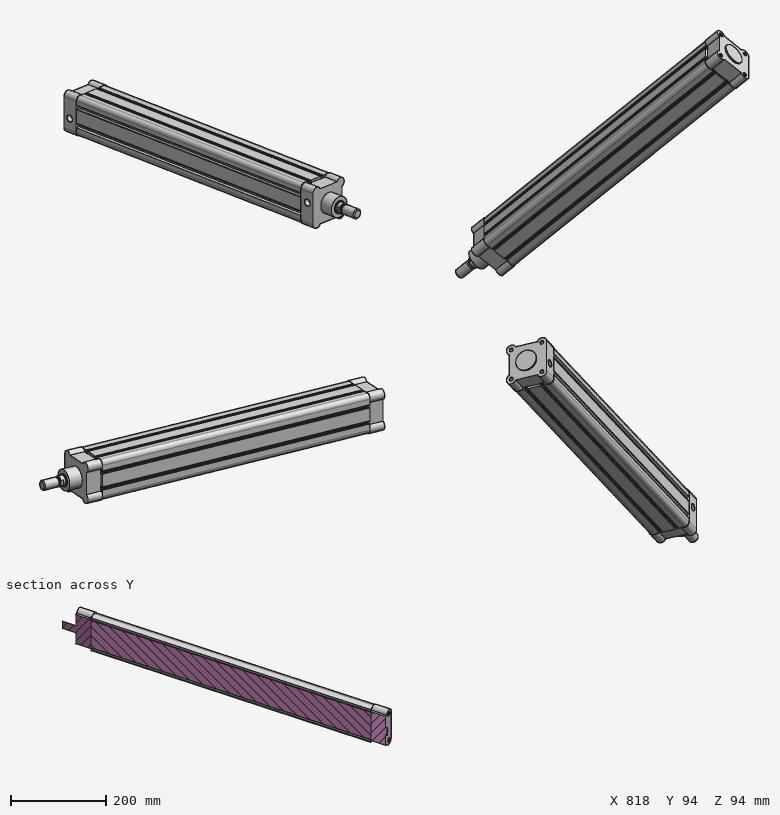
import cadquery as cq

spigot_start = 0.0
rear_cap_start = 3.0
barrel_start = 39.0
barrel_end = 697.0
front_cap_end = 733.0
bush_end = 764.0
seal_end = 766.5
flats_start = 771.0
neck_start = 777.0
thread_start = 779.5
rod_end = 818.0

cap_size = 94.0
cap_half = cap_size / 2
lobe_radius = 11.5
lobe_offset = cap_half - lobe_radius
recess_depth = 6.5
recess_half = cap_half - recess_depth
screw_hole_radius = 3.7
screw_hole_chamfer = 1.0
screw_hole_depth = 16.0
spigot_radius = 24.0
bush_radius = 24.0
seal_diameter = 29.0
seal_radius = seal_diameter / 2

port_radius = 7.0
port_chamfer = 1.0
port_depth = 12.0
port_z = 10.0
rear_port_x = 20.0
front_port_x = 716.0

barrel_length = barrel_end - barrel_start
barrel_middle = (barrel_start + barrel_end) / 2
barrel_half = 46.0
barrel_corner_radius = barrel_half - lobe_offset
slot_mouth = 5.0
slot_width = 7.0
slot_lip = 2.0
slot_depth = 7.0
slot_spacing = 37.0
slot_offset = slot_spacing / 2
land_width = 32.0
groove_width = 10.0
groove_inner = land_width / 2
groove_outer = groove_inner + groove_width
groove_depth = 5.0
groove_fillet = 3.0
groove_wall_run = 2.5

rod_radius = 12.0
flats_half = 11.0
neck_radius = 9.0
thread_diameter = 22.0
thread_radius = thread_diameter / 2
thread_chamfer = 2.5


def x_cylinder(start, end, radius, y=0.0, z=0.0):
    """Cylinder along X between two stations."""
    return cq.Workplane("YZ", origin=(start, y, z)).circle(radius).extrude(end - start)


def make_chamfered_hole(mouth, direction, radius, depth, chamfer):
    """Cutting tool for a blind hole with a 45 degree chamfer at its mouth."""
    bore = cq.Solid.makeCylinder(radius, depth, mouth, direction)
    cone = cq.Solid.makeCone(radius + chamfer, radius, chamfer, mouth, direction)
    return cq.Workplane("XY").add(bore.fuse(cone))


def make_cap(start, end, port_x, port_height):
    """Square cap with corner lobes, three recessed sides and a port in the flat -Y side."""
    length = end - start
    middle_x = start + length / 2
    plate = cq.Workplane("XY").box(length, 2 * recess_half, 2 * recess_half)
    plate = plate.translate((middle_x, 0, 0))
    port_side = cq.Workplane("XY").box(length, lobe_radius, 2 * lobe_offset)
    port_side = port_side.translate((middle_x, lobe_radius / 2 - cap_half, 0))
    cap = plate.union(port_side)
    for y in (-lobe_offset, lobe_offset):
        for z in (-lobe_offset, lobe_offset):
            cap = cap.union(x_cylinder(start, end, lobe_radius, y, z))
    mouth = cq.Vector(port_x, -cap_half, port_height)
    return cap.cut(make_chamfered_hole(mouth, cq.Vector(0, 1, 0), port_radius, port_depth, port_chamfer))


def make_rear_cap():
    """Rear cap with a centring spigot and screw holes in its lobes."""
    cap = make_cap(rear_cap_start, barrel_start, rear_port_x, -port_z)
    cap = cap.union(x_cylinder(spigot_start, barrel_start, spigot_radius))
    inward = cq.Vector(1, 0, 0)
    for y in (-lobe_offset, lobe_offset):
        for z in (-lobe_offset, lobe_offset):
            mouth = cq.Vector(rear_cap_start, y, z)
            hole = make_chamfered_hole(mouth, inward, screw_hole_radius, screw_hole_depth, screw_hole_chamfer)
            cap = cap.cut(hole)
    return cap


def make_front_cap():
    """Front cap with the guide bush and seal collar, bored through for the rod."""
    cap = make_cap(barrel_end, front_cap_end, front_port_x, port_z)
    cap = cap.union(x_cylinder(barrel_end, bush_end, bush_radius))
    cap = cap.union(x_cylinder(barrel_end, seal_end, seal_radius))
    return cap.cut(x_cylinder(barrel_end, seal_end, rod_radius))


def make_top_slot(y):
    """T-slot along the top of the barrel."""
    channel_height = slot_depth - slot_lip
    channel = cq.Workplane("XY").box(barrel_length, slot_width, channel_height)
    channel = channel.translate((barrel_middle, y, barrel_half - slot_lip - channel_height / 2))
    mouth = cq.Workplane("XY").box(barrel_length, slot_mouth, slot_depth)
    mouth = mouth.translate((barrel_middle, y, barrel_half - slot_depth / 2))
    return channel.union(mouth)


def make_side_groove():
    """Groove in the -Y side above the middle land: rounded inner wall, sloping outer wall."""
    floor_y = groove_depth - barrel_half
    profile = (
        cq.Workplane("YZ", origin=(barrel_start, 0, 0))
        .moveTo(-barrel_half, groove_inner)
        .lineTo(floor_y - groove_fillet, groove_inner)
        .radiusArc((floor_y, groove_inner + groove_fillet), groove_fillet)
        .lineTo(floor_y, groove_outer - groove_wall_run)
        .lineTo(-barrel_half, groove_outer)
        .close()
    )
    return profile.extrude(barrel_length)


def make_barrel():
    """Rounded square extrusion: two T-slots in three sides, two open grooves in the -Y side."""
    barrel = cq.Workplane("XY").box(barrel_length, 2 * barrel_half, 2 * barrel_half)
    barrel = barrel.translate((barrel_middle, 0, 0)).edges("|X").fillet(barrel_corner_radius)

    for offset in (-slot_offset, slot_offset):
        slot = make_top_slot(offset)
        for turn in (0, -90, 180):
            barrel = barrel.cut(slot.rotate((0, 0, 0), (1, 0, 0), turn))

    groove = make_side_groove()
    barrel = barrel.cut(groove).cut(groove.mirror("XY"))
    return barrel


def make_rod():
    """Rod with two wrench flats, a neck and a threaded end chamfered at both ends."""
    rod = x_cylinder(barrel_end, neck_start, rod_radius)
    flats_length = neck_start - flats_start
    cutter_thickness = rod_radius
    for side in (-1, 1):
        cutter = cq.Workplane("XY").box(flats_length, cutter_thickness, 2 * rod_radius)
        cutter_y = side * (flats_half + cutter_thickness / 2)
        rod = rod.cut(cutter.translate((flats_start + flats_length / 2, cutter_y, 0)))
    thread = x_cylinder(thread_start, rod_end, thread_radius)
    thread = thread.faces("<X or >X").chamfer(thread_chamfer)
    return rod.union(x_cylinder(neck_start, thread_start, neck_radius)).union(thread)


rear_cap = make_rear_cap()
barrel = make_barrel()
front_cap = make_front_cap()
rod = make_rod()

result = cq.Compound.makeCompound([rear_cap.val(), barrel.val(), front_cap.val(), rod.val()])